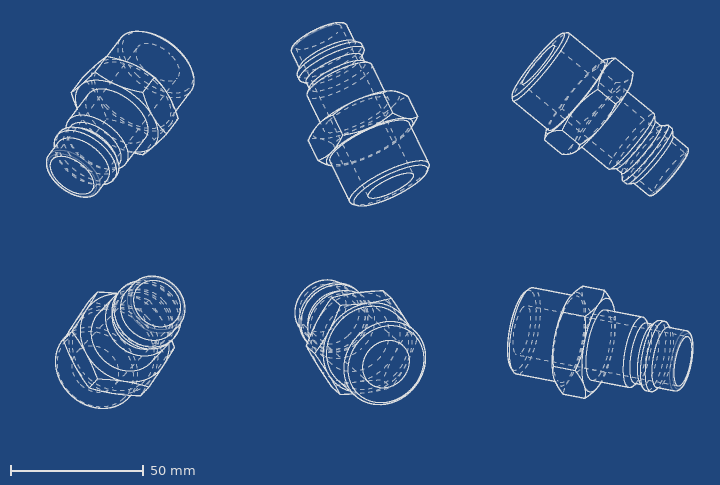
import cadquery as cq
import math

total_length = 65.0
thread_length = 19.0
hex_length = 12.0
body_length = 15.0
neck_length = 3.05
ring_length = 1.95
cone_length = 1.95

thread_diameter = 33.3
hex_across_flats = 36.0
body_diameter = 27.2
neck_diameter = 23.3
bore_diameter = 19.0

thread_chamfer = 1.25
nose_fillet = 1.0
hex_chamfer_angle = 30.0

hex_back = total_length - thread_length
hex_front = hex_back - hex_length
body_front = hex_front - body_length
neck_back = body_front - cone_length
neck_front = neck_back - neck_length
ring_back = neck_front - cone_length
ring_front = ring_back - ring_length
nose_back = ring_front - cone_length

thread_radius = thread_diameter / 2
body_radius = body_diameter / 2
neck_radius = neck_diameter / 2


def revolve_about_y(profile):
    """Revolve a closed XY profile fully around the Y axis."""
    return profile.close().revolve(360, (0, 0, 0), (0, 1, 0))


def make_turned_body():
    """Plug nose with its locking groove, plain shank and thread cylinder."""
    arc_offset = nose_fillet * (1 - math.sqrt(0.5))
    profile = (
        cq.Workplane("XY")
        .lineTo(neck_radius - nose_fillet, 0)
        .threePointArc((neck_radius - arc_offset, arc_offset), (neck_radius, nose_fillet))
        .lineTo(neck_radius, nose_back)
        .lineTo(body_radius, ring_front)
        .lineTo(body_radius, ring_back)
        .lineTo(neck_radius, neck_front)
        .lineTo(neck_radius, neck_back)
        .lineTo(body_radius, body_front)
        .lineTo(body_radius, hex_back)
        .lineTo(thread_radius, hex_back)
        .lineTo(thread_radius, total_length - thread_chamfer)
        .lineTo(thread_radius - thread_chamfer, total_length)
        .lineTo(0, total_length)
    )
    return revolve_about_y(profile)


def make_hex():
    """Wrench hexagon with corners on the X axis, chamfered at both ends."""
    flat_radius = hex_across_flats / 2
    corner_radius = flat_radius / math.cos(math.pi / 6)
    chamfer_depth = (corner_radius - flat_radius) * math.tan(math.radians(hex_chamfer_angle))
    prism = (
        cq.Workplane("XZ", origin=(0, hex_back, 0))
        .polygon(6, 2 * corner_radius)
        .extrude(hex_length)
    )
    envelope = revolve_about_y(
        cq.Workplane("XY")
        .moveTo(0, hex_front)
        .lineTo(flat_radius, hex_front)
        .lineTo(corner_radius, hex_front + chamfer_depth)
        .lineTo(corner_radius, hex_back - chamfer_depth)
        .lineTo(flat_radius, hex_back)
        .lineTo(0, hex_back)
    )
    return prism.intersect(envelope)


def make_bore():
    """Through passage along the whole fitting."""
    return cq.Workplane("XZ").circle(bore_diameter / 2).extrude(-total_length)


result = make_turned_body().union(make_hex()).cut(make_bore())